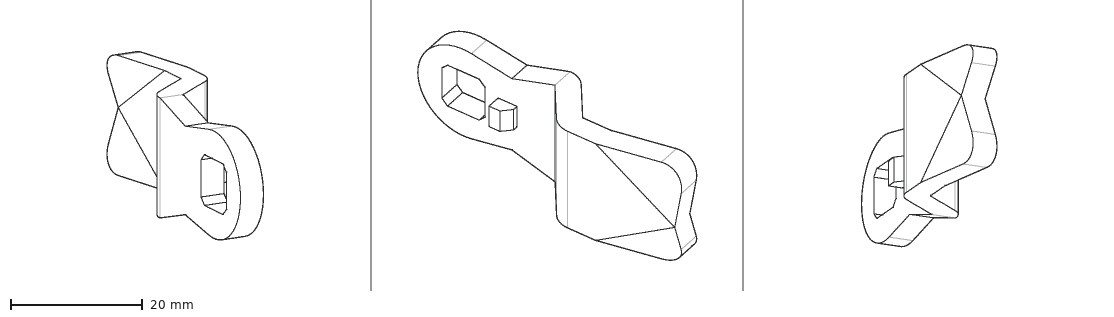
import cadquery as cq
import math

length = 53.45
half_width = 19.0 / 2
thickness = 4.0
offset_height = 12.0

high_bend_x = 19.95
low_bend_x = 27.9
high_front_y = offset_height - thickness

corner_radius = 4.0
neck_x = 35.95
neck_half_width = 7.0
head_radius = 8.5
head_x = length - head_radius

fold_length = 14.75
fold_drop = 2.95

hole_size = 8.0
hole_chamfer = 1.05

lug_start_x = 34.95
lug_length = 3.55
lug_height = 2.4
lug_chamfer = 1.5
lug_width = 4.0


def polar(x, y, radius, angle):
    return (x + radius * math.cos(angle), y + radius * math.sin(angle))


def bent_strip():
    """Offset strip of constant thickness, extruded over the full width."""
    run = low_bend_x - high_bend_x
    drop = high_front_y - thickness
    slope = math.atan2(drop, run) + math.asin(thickness / math.hypot(run, drop))
    up = math.pi / 2
    normal = up - slope
    high = (high_bend_x, high_front_y)
    low = (low_bend_x, thickness)
    profile = (
        cq.Workplane("XY")
        .moveTo(0, high_front_y)
        .lineTo(*high)
        .lineTo(*polar(*low, thickness, normal + math.pi))
        .threePointArc(
            polar(*low, thickness, (normal + up) / 2 + math.pi),
            (low_bend_x, 0),
        )
        .lineTo(length, 0)
        .lineTo(length, thickness)
        .lineTo(*low)
        .lineTo(*polar(*high, thickness, normal))
        .threePointArc(
            polar(*high, thickness, (normal + up) / 2),
            (high_bend_x, offset_height),
        )
        .lineTo(0, offset_height)
        .close()
    )
    return profile.extrude(half_width, both=True)


def fold_wedge(face_y, side):
    """Tetrahedron between a flat face at face_y and the folded wing surface."""
    ridge_end = cq.Vector(0, face_y, 0)
    edge_end = cq.Vector(fold_length, face_y, side * half_width)
    flat_corner = cq.Vector(0, face_y, side * half_width)
    folded_corner = cq.Vector(0, face_y - fold_drop, side * half_width)
    triangles = [
        (ridge_end, edge_end, flat_corner),
        (ridge_end, edge_end, folded_corner),
        (ridge_end, flat_corner, folded_corner),
        (edge_end, flat_corner, folded_corner),
    ]
    faces = [cq.Face.makeFromWires(cq.Wire.makePolygon(t, close=True)) for t in triangles]
    return cq.Workplane(obj=cq.Solid.makeSolid(cq.Shell.makeShell(faces)))


def plan_outline():
    """Tall prism of the plan outline, symmetric about Z = 0."""
    neck_to_head = head_x - neck_x
    tangent_angle = (
        math.atan2(neck_half_width, -neck_to_head)
        - math.acos(head_radius / math.hypot(neck_to_head, neck_half_width))
    )
    tangent_x, tangent_z = polar(head_x, 0, head_radius, tangent_angle)
    arc_inset = corner_radius * (1 - math.sqrt(0.5))
    return (
        cq.Workplane("XZ")
        .moveTo(0, corner_radius - half_width)
        .lineTo(0, half_width - corner_radius)
        .threePointArc((arc_inset, half_width - arc_inset), (corner_radius, half_width))
        .lineTo(low_bend_x, half_width)
        .lineTo(neck_x, neck_half_width)
        .lineTo(tangent_x, tangent_z)
        .threePointArc((length, 0), (tangent_x, -tangent_z))
        .lineTo(neck_x, -neck_half_width)
        .lineTo(low_bend_x, -half_width)
        .lineTo(corner_radius, -half_width)
        .threePointArc((arc_inset, arc_inset - half_width), (0, corner_radius - half_width))
        .close()
        .extrude(-offset_height)
    )


def square_hole():
    return (
        cq.Workplane("XY")
        .box(hole_size, 2 * thickness, hole_size)
        .edges("|Y")
        .chamfer(hole_chamfer)
        .translate((head_x, thickness / 2, 0))
    )


def stop_lug():
    """Lug with a chamfered leading edge, rooted inside the low plate."""
    root_y = thickness / 2
    top_y = thickness + lug_height
    end_x = lug_start_x + lug_length
    return (
        cq.Workplane("XY")
        .polyline([
            (lug_start_x, root_y),
            (end_x, root_y),
            (end_x, top_y),
            (lug_start_x + lug_chamfer, top_y),
            (lug_start_x, top_y - lug_chamfer),
        ])
        .close()
        .extrude(lug_width / 2, both=True)
    )


body = bent_strip()
for side in (-1, 1):
    body = body.cut(fold_wedge(offset_height, side))
    body = body.union(fold_wedge(high_front_y, side))

body = body.intersect(plan_outline())
result = body.cut(square_hole()).union(stop_lug())